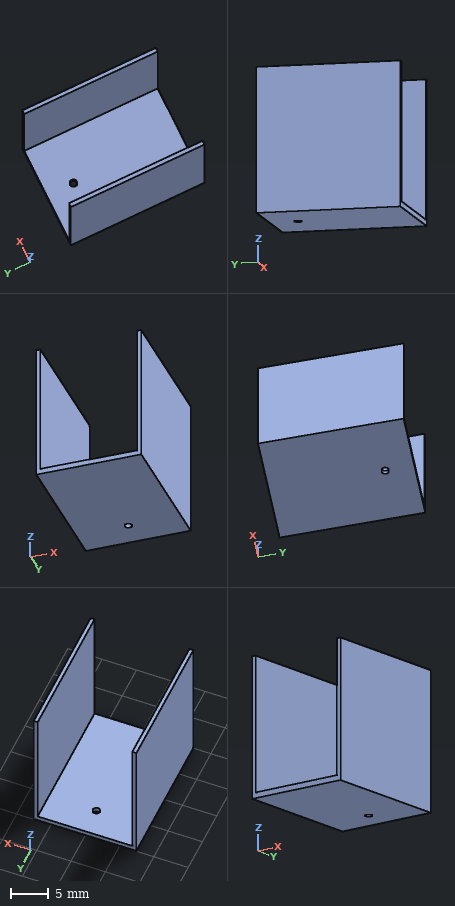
import cadquery as cq

width = 15.0
length = 20.0
height = 20.0

wall_thickness = 0.6
floor_thickness = 0.8

hole_diameter = 1.0
hole_from_back = 4.0

block = cq.Workplane("XY").box(width, length, height, centered=(True, True, False))
cavity = (
    cq.Workplane("XY")
    .workplane(offset=floor_thickness)
    .rect(width - 2 * wall_thickness, length)
    .extrude(height - floor_thickness)
)
channel = block.cut(cavity)

hole = (
    cq.Workplane("XY")
    .center(0, length / 2 - hole_from_back)
    .circle(hole_diameter / 2)
    .extrude(floor_thickness)
)
result = channel.cut(hole)